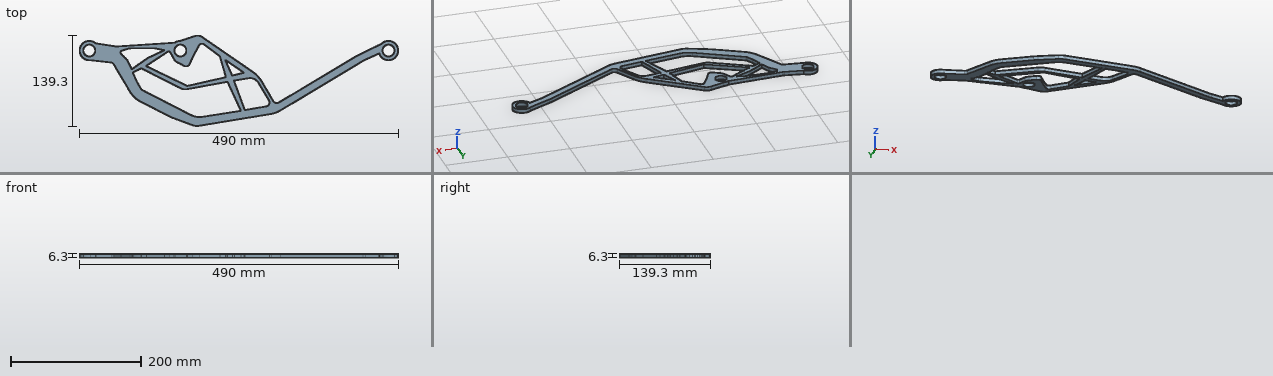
import cadquery as cq
import math


THICKNESS = 6.3
HOLE_DIAMETER = 18.0
EYE_DIAMETER = 30.0
LEFT_EYE = (0.0, 0.0)
MIDDLE_EYE = (140.0, 0.0)
RIGHT_EYE = (460.0, 0.0)
EYES = [LEFT_EYE, MIDDLE_EYE, RIGHT_EYE]

BODY_OUTLINE = [
    (0.0, 12.8, 0),
    (41.5, 6.4, 10),
    (131.5, 12.3, 0),
    (168.4, 24.4, 12),
    (260.0, -38.6, 50),
    (286.1, -82.9, 6),
    (411.3, -8.0, 60),
    (453.8, 12.8, 0),
    (460.0, 1.9, 0),
    (422.5, -15.1, 40),
    (286.9, -96.4, 40),
    (163.6, -116.7, 20),
    (125.8, -102.7, 60),
    (68.4, -73.3, 40),
    (36.0, -18.8, 5),
    (0.0, -14.8, 0),
]

LEFT_WINDOW = [
    (45.6, -1.5, 3),
    (62.0, 3.2, 10),
    (101.5, 3.2, 10),
    (115.0, 0.5, 0),
    (90.0, -11.2, 0),
    (65.4, -28.5, 0),
    (58.6, -14.7, 8),
]

UPPER_WINDOW = [
    (87.4, -23.7, 0),
    (123.0, -0.4, 2),
    (132.0, -16.5, 12),
    (151.6, -26.7, 6),
    (160.5, -7.5, 20),
    (171.7, 12.9, 5),
    (200.6, -8.8, 0),
    (209.9, -40.8, 0),
    (150.7, -54.2, 0),
]

LOWER_WINDOW = [
    (67.0, -33.8, 0),
    (80.0, -27.5, 0),
    (145.0, -60.5, 16),
    (212.4, -48.2, 0),
    (232.9, -92.5, 0),
    (164.5, -103.2, 30),
    (80.5, -60.1, 3),
    (74.2, -49.7, 0),
]

CROSSING_WINDOW = [
    (209.2, -14.6, 0),
    (237.5, -34.0, 0),
    (219.8, -38.3, 0),
]

RIGHT_WINDOW = [
    (222.6, -46.4, 0),
    (254.8, -41.0, 15),
    (280.6, -84.2, 6),
    (239.2, -91.3, 0),
]

WINDOWS = [LEFT_WINDOW, UPPER_WINDOW, LOWER_WINDOW, CROSSING_WINDOW, RIGHT_WINDOW]


def corner_points(before, corner, after):
    """Start, middle and end of the arc that rounds a corner; one point if it is sharp."""
    x, y, radius = corner
    if radius == 0:
        return [(x, y)]
    to_before = cq.Vector(before[0] - x, before[1] - y).normalized()
    to_after = cq.Vector(after[0] - x, after[1] - y).normalized()
    half_angle = to_before.getAngle(to_after) / 2
    tangent_length = radius / math.tan(half_angle)
    middle_length = radius / math.sin(half_angle) - radius
    vertex = cq.Vector(x, y)
    start = vertex + to_before * tangent_length
    middle = vertex + (to_before + to_after).normalized() * middle_length
    end = vertex + to_after * tangent_length
    return [point.toTuple()[:2] for point in (start, middle, end)]


def prism(corners):
    """Plate-thick solid bounded by the outline with its corners rounded."""
    count = len(corners)
    stations = []
    for index, corner in enumerate(corners):
        after = corners[(index + 1) % count]
        stations.append(corner_points(corners[index - 1], corner, after))
    sketch = cq.Workplane("XY", origin=(0, 0, -THICKNESS / 2)).moveTo(*stations[0][-1])
    for points in stations[1:] + stations[:1]:
        sketch = sketch.lineTo(*points[0])
        if len(points) > 1:
            sketch = sketch.threePointArc(points[1], points[2])
    return sketch.close().extrude(THICKNESS)


def discs(diameter):
    """Plate-thick discs at the three eye centres."""
    plane = cq.Workplane("XY", origin=(0, 0, -THICKNESS / 2))
    return plane.pushPoints(EYES).circle(diameter / 2).extrude(THICKNESS)


plate = prism(BODY_OUTLINE).union(discs(EYE_DIAMETER))
for window in WINDOWS:
    plate = plate.cut(prism(window))

result = plate.cut(discs(HOLE_DIAMETER))